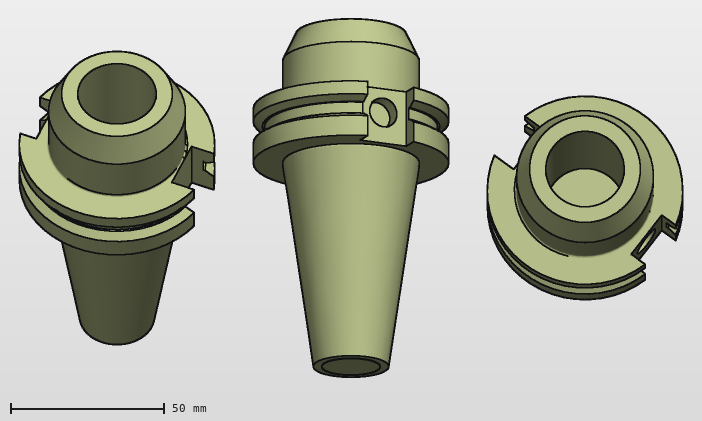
import cadquery as cq
import math

tail_bottom = -68.4
tail_boss_height = 0.15
taper_bottom = tail_bottom + tail_boss_height
flange_bottom = 0.7
flange_top = 19.1
nose_top = 44.3
nose_cone_height = 9.0

gauge_radius = 44.45 / 2
taper_ratio = 7 / 24
taper_small_radius = gauge_radius + taper_bottom * taper_ratio / 2
tail_boss_radius = 19.0 / 2
flange_radius = 63.55 / 2
nose_radius = 44.5 / 2
nose_tip_radius = 36.0 / 2
nose_root_fillet = 0.7

groove_center = 11.1
groove_floor_radius = 56.25 / 2
groove_floor_width = 3.9
groove_mouth_width = 7.3
groove_wall_angle = 30.0

slot_width = 16.5
slot_floor_minus_x = 25.0
slot_floor_plus_x = 22.8

bore_diameter = 25.5
bore_depth = nose_top
chip_hole_diameter = 9.7
chip_hole_depth = 5.5


def make_turned_body():
    """Tail boss, taper, flange and nose revolved about Z."""
    profile = (
        cq.Workplane("XZ")
        .moveTo(0, tail_bottom)
        .lineTo(tail_boss_radius, tail_bottom)
        .lineTo(tail_boss_radius, taper_bottom)
        .lineTo(taper_small_radius, taper_bottom)
        .lineTo(gauge_radius, 0)
        .lineTo(gauge_radius, flange_bottom)
        .lineTo(flange_radius, flange_bottom)
        .lineTo(flange_radius, flange_top)
        .lineTo(nose_radius + nose_root_fillet, flange_top)
        .radiusArc((nose_radius, flange_top + nose_root_fillet), nose_root_fillet)
        .lineTo(nose_radius, nose_top - nose_cone_height)
        .lineTo(nose_tip_radius, nose_top)
        .lineTo(0, nose_top)
        .close()
    )
    return profile.revolve(360, (0, 0, 0), (0, 1, 0))


def make_gripper_groove():
    """Ring that cuts the groove: a straight floor channel opening into sloped walls."""
    half_floor = groove_floor_width / 2
    half_mouth = groove_mouth_width / 2
    wall_rise = half_mouth - half_floor
    wall_root_radius = flange_radius - wall_rise / math.tan(math.radians(groove_wall_angle))
    section = (
        cq.Workplane("XZ")
        .moveTo(groove_floor_radius, groove_center - half_floor)
        .lineTo(groove_floor_radius, groove_center + half_floor)
        .lineTo(wall_root_radius, groove_center + half_floor)
        .lineTo(flange_radius, groove_center + half_mouth)
        .lineTo(flange_radius, groove_center - half_mouth)
        .lineTo(wall_root_radius, groove_center - half_floor)
        .close()
    )
    return section.revolve(360, (0, 0, 0), (0, 1, 0))


def make_drive_slot(floor_distance, side):
    """Block that cuts one drive slot; side is -1 for -X and +1 for +X."""
    depth = flange_radius - floor_distance
    return (
        cq.Workplane("XY")
        .workplane(offset=flange_bottom)
        .center(side * (floor_distance + depth / 2), 0)
        .rect(depth, slot_width)
        .extrude(flange_top + nose_root_fillet - flange_bottom)
    )


def make_bore():
    """Blind tool bore entering from the nose."""
    return cq.Workplane("XY").workplane(offset=nose_top).circle(bore_diameter / 2).extrude(-bore_depth)


def make_chip_hole():
    """Blind round hole in the floor of the -X drive slot."""
    return (
        cq.Workplane("YZ", origin=(-slot_floor_minus_x, 0, groove_center))
        .circle(chip_hole_diameter / 2)
        .extrude(chip_hole_depth)
    )


result = (
    make_turned_body()
    .cut(make_gripper_groove())
    .cut(make_drive_slot(slot_floor_minus_x, -1))
    .cut(make_drive_slot(slot_floor_plus_x, 1))
    .cut(make_bore())
    .cut(make_chip_hole())
)